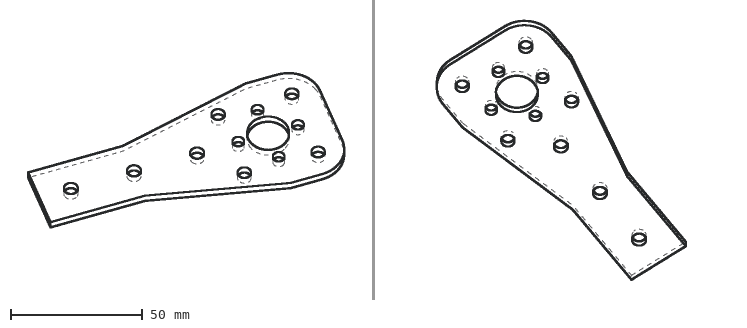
import cadquery as cq

thickness = 3.3
head_width = 50.8
arm_width = 25.4
total_length = 117.47
arm_length = 38.1
corner_radius = 12.7
neck_blend_radius = 3.175

head_top = head_width / 2
arm_end = head_top - total_length
arm_start = arm_end + arm_length

bore_diameter = 16.0
holes_per_circle = 4
inner_hole_diameter = 4.5
inner_circle_radius = 12.0
inner_start_angle = 0
outer_hole_diameter = 5.11
outer_circle_radius = 21.0
outer_start_angle = 45
arm_hole_diameter = 5.32
arm_hole_pitch = 25.4
arm_hole_count = 3
arm_hole_end_distance = 12.7


def make_plate():
    """Head with rounded top corners that tapers from the bore centreline to a narrow arm."""
    head_x = head_width / 2
    arm_x = arm_width / 2
    outline = [
        (-head_x, head_top),
        (-head_x, 0),
        (-arm_x, arm_start),
        (-arm_x, arm_end),
        (arm_x, arm_end),
        (arm_x, arm_start),
        (head_x, 0),
        (head_x, head_top),
    ]
    plate = cq.Workplane("XY").polyline(outline).close().extrude(thickness)
    plate = plate.edges("|Z and >Y").fillet(corner_radius)

    margin = 1.0
    neck_box = cq.selectors.BoxSelector(
        (-head_x, arm_start - margin, -margin),
        (head_x, arm_start + margin, thickness + margin),
    )
    return plate.edges("|Z").edges(neck_box).fillet(neck_blend_radius)


def drill(plate, locations, diameter):
    """Cut a through hole at every point of the given workplane."""
    return plate.cut(locations.circle(diameter / 2).extrude(thickness))


def hole_circle(radius, start_angle):
    """Hole centres equally spaced on a circle around the bore."""
    return cq.Workplane("XY").polarArray(
        radius, start_angle, 360, holes_per_circle, rotate=False
    )


def arm_row():
    """Hole centres along the centreline, counted from the arm end."""
    first_hole = arm_end + arm_hole_end_distance
    centres = [(0, first_hole + i * arm_hole_pitch) for i in range(arm_hole_count)]
    return cq.Workplane("XY").pushPoints(centres)


result = make_plate()
result = drill(result, cq.Workplane("XY"), bore_diameter)
result = drill(result, hole_circle(inner_circle_radius, inner_start_angle), inner_hole_diameter)
result = drill(result, hole_circle(outer_circle_radius, outer_start_angle), outer_hole_diameter)
result = drill(result, arm_row(), arm_hole_diameter)